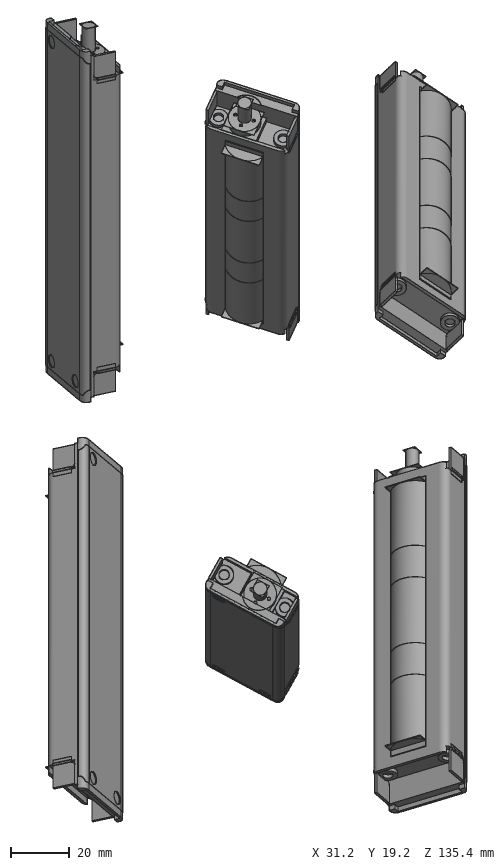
import cadquery as cq
import math

LENGTH = 131.9
WIDTH = 30.0
MID_Z = LENGTH / 2
BODY_OVERLAP = 0.7

COVER_DEPTH = 3.0
COVER_FRONT_THICKNESS = 1.0
CHANNEL_WIDTH = 25.5
COVER_EDGE_RADIUS = 2.2
SEAM_DEPTH = 0.4
SEAM_INSET = 0.07
PANEL_WIDTH = 24.1
PANEL_RISE = 0.07
PAD_RADIUS = 2.3
PAD_SINK = 0.4
PAD_X = 9.0
PAD_END_GAP = 6.0
BAND_FRONT = 2.6
BAND_SIDE = 4.6
BAND_SINK = 0.07

BASE_BACK_Y = 4.0
BASE_END_GAP = 1.8
RELIEF_RADIUS = 5.4
RELIEF_Y = 7.2
RELIEF_SINK = 0.3
BACK_Y = 15.2
BACK_RADIUS = 2.8
FLOOR_END_GAP = 11.1
RIM_END_GAP = 8.7
RIM_THICKNESS = 1.1

TAB_OUTER_X = 15.2
TAB_THICKNESS = 1.0
TAB_BACK_Y = BACK_Y - BACK_RADIUS
TAB_END_GAP = 2.2
TAB_CORNER_RADIUS = 1.1
BEAD_OUTER_X = 15.6
BEAD_FRONT_Y = 5.3
BEAD_HEIGHT = 2.2
BEAD_CREST = 0.8
BEAD_END_GAP = 10.4

BOSS_X = 11.8
BOSS_Y = 9.1
BOSS_RADIUS = 3.2
BOSS_HEIGHT = 1.4
BOSS_HOLE_RADIUS = 1.8

SHAFT_X = 2.6
SHAFT_Y = 8.4
SHAFT_RADIUS = 2.3
SHAFT_TOP_Z = 135.4
GLAND_RADIUS = 5.5
GLAND_TOP_Z = 126.0
GLAND_SEAT_WIDTH = 12.7
GLAND_SEAT_HEIGHT = 2.2
FLANGE_THICKNESS = 0.1
GLAND_HOLE_COUNT = 4
GLAND_HOLE_RADIUS = 0.5
GLAND_HOLE_CIRCLE = 3.4
GLAND_HOLE_DEPTH = 0.7

BAR_WIDTH = 13.8
BAR_BACK_Y = 19.2
BAR_END_GAP = 14.8
PLINTH_BACK_Y = 15.6
PLINTH_END_GAP = 12.6
BAR_NECK_NEAR = 13.0
BAR_NECK_FAR = 25.5
BAR_NECK_SINK = 0.1
BAR_PLATE_THICKNESS = 0.3


def block(width, front_y, back_y, bottom_z, top_z, center_x=0.0):
    """Box centred on center_x, between two depths and two heights."""
    size_y = back_y - front_y
    size_z = top_z - bottom_z
    return (
        cq.Workplane("XY")
        .box(width, size_y, size_z, centered=(True, False, False))
        .translate((center_x, front_y, bottom_z))
    )


def rod(x, y, radius, bottom_z, top_z):
    """Round bar along Z."""
    return cq.Workplane("XY").circle(radius).extrude(top_z - bottom_z).translate((x, y, bottom_z))


def at_both_ends(top_feature):
    """The feature at the top end together with its mirror at the bottom end."""
    return [top_feature, top_feature.mirror("XY", (0, 0, MID_Z))]


def at_both_sides(right_feature):
    """The feature on the +X side together with its mirror on the -X side."""
    return [right_feature, right_feature.mirror("YZ")]


def rounded_cover(inset):
    """Cover with rounded long front edges and a proud panel, its outer faces moved in by inset."""
    blank = block(WIDTH - 2 * inset, inset + PANEL_RISE, COVER_DEPTH, 0, LENGTH)
    blank = blank.faces("<Y").edges("|Z").fillet(COVER_EDGE_RADIUS)
    return blank.union(block(PANEL_WIDTH, inset, COVER_DEPTH, 0, LENGTH))


def end_band():
    """Thin skin at the top end, with mitred corners where it is longer at the sides."""
    half = WIDTH / 2
    miter_x = half - COVER_EDGE_RADIUS / 2
    outline = (
        cq.Workplane("XZ")
        .moveTo(-half, LENGTH)
        .lineTo(half, LENGTH)
        .lineTo(half, LENGTH - BAND_SIDE)
        .lineTo(miter_x, LENGTH - BAND_FRONT)
        .lineTo(-miter_x, LENGTH - BAND_FRONT)
        .lineTo(-half, LENGTH - BAND_SIDE)
        .close()
        .extrude(-COVER_DEPTH)
    )
    return outline.cut(rounded_cover(BAND_SINK))


def make_cover():
    cover = rounded_cover(0)

    seam = block(WIDTH, COVER_DEPTH - SEAM_DEPTH, COVER_DEPTH, 0, LENGTH)
    seam = seam.cut(block(WIDTH - 2 * SEAM_INSET, 0, COVER_DEPTH, 0, LENGTH))
    cover = cover.cut(seam)

    for band in at_both_ends(end_band()):
        cover = cover.cut(band)

    feet = [(-PAD_X, PAD_END_GAP), (PAD_X, PAD_END_GAP), (-PAD_X, LENGTH - PAD_END_GAP)]
    cover = cover.cut(cq.Workplane("XZ").pushPoints(feet).circle(PAD_RADIUS).extrude(-PAD_SINK))

    return cover.cut(block(CHANNEL_WIDTH, COVER_FRONT_THICKNESS, COVER_DEPTH, 0, LENGTH))


def rounded_shell(end_gap):
    """Main housing block with rounded long back edges."""
    blank = block(WIDTH, COVER_DEPTH, BACK_Y, end_gap, LENGTH - end_gap)
    return blank.faces(">Y").edges("|Z").fillet(BACK_RADIUS)


def base():
    """Base slab with a tongue that fills the cover channel and an arc relief at its top end."""
    top_z = LENGTH - BASE_END_GAP
    slab = block(WIDTH, COVER_DEPTH, BASE_BACK_Y, BASE_END_GAP, top_z)
    slab = slab.union(block(CHANNEL_WIDTH, COVER_FRONT_THICKNESS, BASE_BACK_Y, BASE_END_GAP, top_z))
    return slab.cut(rod(SHAFT_X, RELIEF_Y, RELIEF_RADIUS, top_z - RELIEF_SINK, top_z))


def end_pocket():
    """Space in front of the back rim, above the top floor."""
    rim_front_y = BACK_Y - RIM_THICKNESS
    return block(WIDTH, COVER_DEPTH, rim_front_y, LENGTH - FLOOR_END_GAP, LENGTH)


def side_tab():
    """Thin tab standing up from the top end of the +X wall."""
    bottom_z = LENGTH - BEAD_END_GAP
    center_x = TAB_OUTER_X - TAB_THICKNESS / 2
    tab = block(TAB_THICKNESS, BASE_BACK_Y, TAB_BACK_Y, bottom_z, LENGTH - TAB_END_GAP, center_x)
    return tab.edges("|X and <Y and <Z").fillet(TAB_CORNER_RADIUS)


def bead_strip(outer_x, height):
    """Strip along Y on the +X wall, directly below the top tab."""
    top_z = LENGTH - BEAD_END_GAP
    inner_x = WIDTH / 2 - BODY_OVERLAP
    center_x = (inner_x + outer_x) / 2
    return block(outer_x - inner_x, BEAD_FRONT_Y, TAB_BACK_Y, top_z - height, top_z, center_x)


def snap_bead():
    """Flat strip with a raised crest along its tab side."""
    return bead_strip(TAB_OUTER_X, BEAD_HEIGHT).union(bead_strip(BEAD_OUTER_X, BEAD_CREST))


def screw_boss():
    """Ring on the top floor at the +X side."""
    floor_z = LENGTH - FLOOR_END_GAP
    boss = rod(BOSS_X, BOSS_Y, BOSS_RADIUS, floor_z - BODY_OVERLAP, floor_z + BOSS_HEIGHT)
    return boss.cut(rod(BOSS_X, BOSS_Y, BOSS_HOLE_RADIUS, floor_z, floor_z + BOSS_HEIGHT))


def gland_seat():
    """Raised seat on the top floor, reaching from the base slab to the back rim."""
    floor_z = LENGTH - FLOOR_END_GAP
    top_z = floor_z + GLAND_SEAT_HEIGHT
    rim_front_y = BACK_Y - RIM_THICKNESS
    return block(GLAND_SEAT_WIDTH, BASE_BACK_Y, rim_front_y, floor_z - BODY_OVERLAP, top_z, SHAFT_X)


def gland_and_shaft():
    """Round gland and shaft, each topped by a thin square plate."""
    gland_bottom = LENGTH - FLOOR_END_GAP - BODY_OVERLAP
    gland = rod(SHAFT_X, SHAFT_Y, GLAND_RADIUS, gland_bottom, GLAND_TOP_Z)
    gland = gland.union(rod(SHAFT_X, SHAFT_Y, SHAFT_RADIUS, gland_bottom, SHAFT_TOP_Z))
    for radius, top_z in ((GLAND_RADIUS, GLAND_TOP_Z), (SHAFT_RADIUS, SHAFT_TOP_Z)):
        front_y = SHAFT_Y - radius
        back_y = SHAFT_Y + radius
        plate = block(2 * radius, front_y, back_y, top_z - FLANGE_THICKNESS, top_z, SHAFT_X)
        gland = gland.union(plate)
    for index in range(GLAND_HOLE_COUNT):
        angle = 2 * math.pi * index / GLAND_HOLE_COUNT
        x = SHAFT_X + GLAND_HOLE_CIRCLE * math.cos(angle)
        y = SHAFT_Y + GLAND_HOLE_CIRCLE * math.sin(angle)
        gland = gland.cut(rod(x, y, GLAND_HOLE_RADIUS, GLAND_TOP_Z - GLAND_HOLE_DEPTH, GLAND_TOP_Z))
    return gland


def domed_stretch(back_y, bottom_z, top_z):
    """Length of the back bar with a shallow arc as its back."""
    half = BAR_WIDTH / 2
    return (
        cq.Workplane("XY")
        .moveTo(-half, BACK_Y - BODY_OVERLAP)
        .lineTo(-half, PLINTH_BACK_Y)
        .threePointArc((0, back_y), (half, PLINTH_BACK_Y))
        .lineTo(half, BACK_Y - BODY_OVERLAP)
        .close()
        .extrude(top_z - bottom_z)
        .translate((0, 0, bottom_z))
    )


def back_bar():
    """Plinth with a domed bar, two sunk stretches and thin square end plates."""
    bar_top = LENGTH - BAR_END_GAP
    inner_y = BACK_Y - BODY_OVERLAP
    neck_back_y = BAR_BACK_Y - BAR_NECK_SINK
    near_z = MID_Z + BAR_NECK_NEAR
    far_z = MID_Z + BAR_NECK_FAR

    bar = block(BAR_WIDTH, inner_y, PLINTH_BACK_Y, PLINTH_END_GAP, LENGTH - PLINTH_END_GAP)
    bar = bar.union(domed_stretch(BAR_BACK_Y, LENGTH - near_z, near_z))
    for stretch in at_both_ends(domed_stretch(neck_back_y, near_z, far_z)):
        bar = bar.union(stretch)
    for stretch in at_both_ends(domed_stretch(BAR_BACK_Y, far_z, bar_top)):
        bar = bar.union(stretch)
    plate = block(BAR_WIDTH, inner_y, BAR_BACK_Y, bar_top - BAR_PLATE_THICKNESS, bar_top)
    for end_plate in at_both_ends(plate):
        bar = bar.union(end_plate)
    return bar


def make_housing():
    housing = rounded_shell(RIM_END_GAP)
    for pocket in at_both_ends(end_pocket()):
        housing = housing.cut(pocket)

    housing = housing.union(base())
    for feature in (side_tab(), snap_bead(), screw_boss()):
        for side_feature in at_both_sides(feature):
            for placed in at_both_ends(side_feature):
                housing = housing.union(placed)

    housing = housing.union(back_bar())
    housing = housing.union(gland_seat())
    return housing.union(gland_and_shaft())


cover = make_cover()
housing = make_housing()
result = cq.Compound.makeCompound([cover.solids().val(), housing.solids().val()])